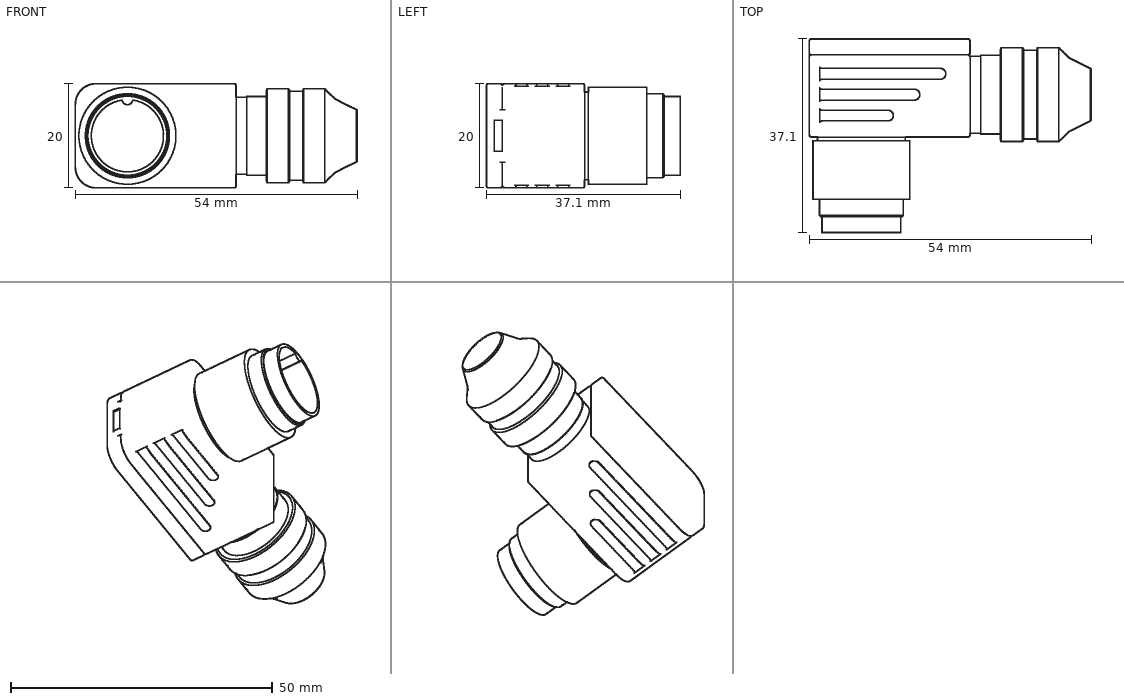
import cadquery as cq

housing_length = 30.8
housing_height = 20.0
housing_back = 10.7
housing_front = -8.1
corner_radius = 4.0
edge_round = 0.45

parting_y = 7.6
tongue_half_height = 5.0

window_y = 8.4
window_width = 1.45
window_height = 5.95
window_depth = 0.25

grip_slots = [(4.0, 26.15), (0.0, 21.15), (-4.0, 16.1)]
slot_half_width = 1.0
slot_rim_round = 0.25
slot_depth = 0.55

collar_root = housing_length / 2
collar_end = 32.8
nut_start = 36.55
waist_start = 40.75
waist_end = 43.5
shoulder_start = 47.75
cone_start = 49.75
nut_end = 54.0
collar_radius = 7.4
neck_radius = 7.55
nut_radius = 9.0
waist_radius = 8.55
cone_radius = 7.1
tip_radius = 5.1
ramp_length = 0.15
waist_ramp = 0.3
tip_chamfer = 0.25

connector_x = housing_height / 2
ring_start = -8.8
ring_end = -20.05
sleeve_end = -23.35
connector_end = -26.4
connector_neck_radius = 8.4
ring_radius = 9.3
sleeve_radius = 8.05
sleeve_chamfer = 0.25
spigot_radius = 7.55
bore_radius = 6.9
bore_depth = 8.0
key_radius = 1.0
key_tip = 5.95


def make_shell(back, front):
    """Block between two Y places, rounded on the left and with its other edges softly rounded."""
    block = cq.Workplane("XY").box(housing_length, back - front, housing_height)
    block = block.edges("|Y and <X").fillet(corner_radius)
    block = block.faces("<Y or >Y or >X").fillet(edge_round)
    return block.translate((housing_length / 2, (back + front) / 2, 0))


def make_housing():
    """Lid and body whose rounded edges meet in a V groove, bridged by the tongue."""
    lid = make_shell(housing_back, parting_y)
    body = make_shell(parting_y, housing_front)
    tongue = (
        cq.Workplane("XY")
        .box(2 * edge_round, 2 * edge_round, 2 * tongue_half_height)
        .translate((edge_round, parting_y, 0))
    )
    return lid.union(body).union(tongue)


def make_grip_slot(y, end_x):
    """Slot with one round end, reaching past the left face, cut into the upper face."""
    center_x = end_x - slot_half_width
    return (
        cq.Workplane("XY", origin=(0, y, housing_height / 2))
        .moveTo(-corner_radius, -slot_half_width)
        .lineTo(center_x, -slot_half_width)
        .threePointArc((end_x, 0), (center_x, slot_half_width))
        .lineTo(-corner_radius, slot_half_width)
        .close()
        .extrude(-slot_depth)
    )


def rim_zone(y, end_x, side):
    """Box that holds the rim edges of one slot but not its floor edges."""
    reach = slot_half_width + slot_rim_round
    return cq.selectors.BoxSelector(
        (0, y - reach, side * (housing_height - slot_depth) / 2),
        (end_x, y + reach, side * (housing_height + slot_depth) / 2),
    )


def round_slot_rim(body, y, end_x, side):
    """Round the rim on the upper (side 1) or lower (side -1) face."""
    return body.edges(rim_zone(y, end_x, side)).edges("not |Z").fillet(slot_rim_round)


def cut_grip_slots(body):
    for y, end_x in grip_slots:
        slot = make_grip_slot(y, end_x)
        body = body.cut(slot).cut(slot.mirror("XY"))
        for side in (1, -1):
            body = round_slot_rim(body, y, end_x, side)
    return body


def make_window():
    """Shallow latch window in the left face."""
    window = cq.Workplane("XY").box(window_depth, window_width, window_height)
    return window.translate((window_depth / 2, window_y, 0))


def make_cable_nut():
    """Collar and nut turned about the cable axis, rooted inside the housing."""
    profile = [
        (collar_root, 0),
        (collar_root, collar_radius),
        (collar_end, collar_radius),
        (collar_end, neck_radius),
        (nut_start, neck_radius),
        (nut_start, waist_radius),
        (nut_start + ramp_length, nut_radius),
        (waist_start, nut_radius),
        (waist_start + waist_ramp, waist_radius),
        (waist_end, waist_radius),
        (waist_end + ramp_length, nut_radius),
        (shoulder_start, nut_radius),
        (cone_start, cone_radius),
        (nut_end - tip_chamfer, tip_radius),
        (nut_end, tip_radius - tip_chamfer),
        (nut_end, 0),
    ]
    return cq.Workplane("XY").polyline(profile).close().revolve(360, (0, 0, 0), (1, 0, 0))


def connector_cylinder(radius, start_y, end_y):
    """Cylinder about the connector axis between two Y places, the end being further out."""
    base = cq.Workplane("XZ", origin=(connector_x, start_y, 0))
    return base.circle(radius).extrude(start_y - end_y)


def make_connector():
    """Stepped plug with a blind bore and a keying rib at the top of the bore."""
    neck = connector_cylinder(connector_neck_radius, 0, ring_start)
    ring = connector_cylinder(ring_radius, ring_start, ring_end)
    sleeve = connector_cylinder(sleeve_radius, ring_end, sleeve_end)
    sleeve = sleeve.faces("<Y").chamfer(sleeve_chamfer)
    spigot = connector_cylinder(spigot_radius, sleeve_end, connector_end)
    bore_floor = connector_end + bore_depth
    bore = connector_cylinder(bore_radius, bore_floor, connector_end)
    key = connector_cylinder(key_radius, bore_floor, connector_end)
    key = key.translate((0, 0, key_tip + key_radius)).intersect(bore)
    return neck.union(ring).union(sleeve).union(spigot).cut(bore).union(key)


result = (
    cut_grip_slots(make_housing())
    .union(make_cable_nut())
    .union(make_connector())
    .cut(make_window())
)